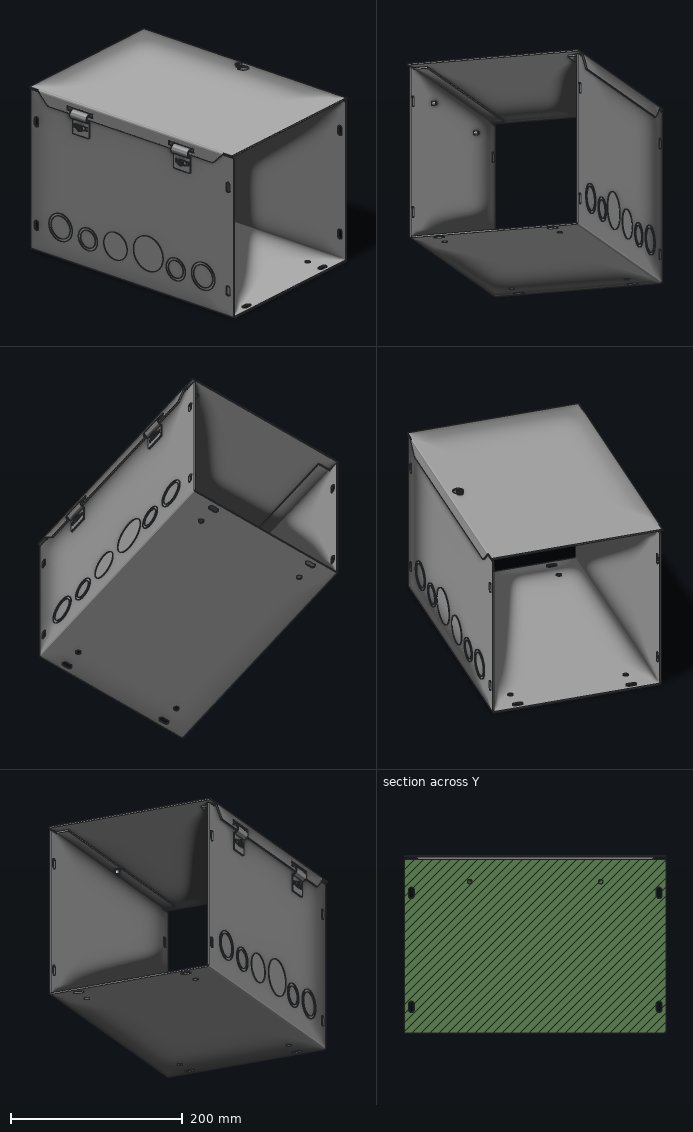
import cadquery as cq

LENGTH = 304.8
SHEET = 1.98
BEND = 2.7
INNER_BEND = BEND - SHEET

BOX_DEPTH = 207.3
BOX_HEIGHT = 207.3
FLANGE_WIDTH = 17.5
FLANGE_HALF_LENGTH = 138.0
END_NOTCH_DEPTH = 2.5
BOX_FRONT = -BOX_DEPTH / 2
BOX_BACK = BOX_DEPTH / 2

SLOT_LENGTH = 12.8
SLOT_WIDTH = 6.5
SLOT_X = 144.2
WALL_SLOT_HEIGHTS = (33.0, 165.5)
FLOOR_SLOT_Y = 69.8
FLOOR_HOLE_DIAMETER = 6.5
FLOOR_HOLE_X = 121.0
FLOOR_HOLE_Y = 70.7

KNOCKOUT_BOTTOM = 23.8
KNOCKOUT_RAISE = 1.0
KNOCKOUTS = [
    (-107.3, 35.0, 28.5),
    (-66.0, 28.5, 22.3),
    (-24.7, 35.0, None),
    (24.7, 44.5, None),
    (66.0, 28.5, 22.3),
    (107.3, 35.0, 28.5),
]

COVER_TOP = BOX_HEIGHT + SHEET
COVER_BACK = BOX_BACK + SHEET
FRONT_GAP = 1.37
COVER_FRONT = BOX_FRONT - FRONT_GAP - SHEET
LIP_BOTTOM = 192.3
LIP_HALF_LENGTH = 139.5
LIP_CORNER = 15.5
END_SETBACK = 1.2
WINDOW_LENGTH = 38.0
WINDOW_BOTTOM = 196.3
WINDOW_TOP = 201.5
KEYHOLE_DIAMETER = 12.8
KEYHOLE_OFFSET = 7.0
KEYHOLE_NECK = 6.5

CLIP_XS = (-76.2, 76.2)
CLIP_WIDTH = 25.0
CLIP_SHEET = 1.5
CLIP_BOTTOM = 167.3
CLIP_CURL_RADIUS = 6.0
CLIP_CURL_OFFSET = 0.75
CLIP_CURL_Y = BOX_FRONT - CLIP_CURL_OFFSET
CLIP_CURL_Z = 193.0
CLIP_CORNER = 1.5
CLIP_SLOT_LENGTH = 19.5
CLIP_SLOT_WIDTH = 4.5

HEAD_DIAMETER = 8.0
HEAD_RIM = 1.2
HEAD_HEIGHT = 2.9
NECK_DIAMETER = 6.5
SHANK_DIAMETER = 4.5
TIP_CHAMFER = 0.5
CROSS_LENGTH = 4.0
CROSS_WIDTH = 1.0
CROSS_DEPTH = 1.0
CLIP_SCREW_Z = 178.5
CLIP_SCREW_TIP_Y = BOX_FRONT + 7.5
WING_LENGTH = 15.2
WING_WIDTH = 5.8
WING_THICKNESS = 1.0
COVER_SCREW_Y = 91.7
COVER_SCREW_TIP_Z = 198.7
COLLAR_DIAMETER = 8.0
COLLAR_HEIGHT = 1.2


def block(x_range, y_range, z_range):
    """Axis-aligned block between the given limits."""
    size = [high - low for low, high in (x_range, y_range, z_range)]
    corner = cq.Vector(x_range[0], y_range[0], z_range[0])
    return cq.Workplane(cq.Solid.makeBox(*size, corner))


def rod(diameter, start, direction, length):
    """Cylinder from a start point along a direction."""
    return cq.Workplane(cq.Solid.makeCylinder(diameter / 2, length, cq.Vector(*start), cq.Vector(*direction)))


def bent_shell():
    """Closed rectangular tube of sheet along X, with bent corners."""
    half = LENGTH / 2
    outside = block((-half, half), (BOX_FRONT, BOX_BACK), (0, BOX_HEIGHT)).edges("|X").fillet(BEND)
    inside = block(
        (-half, half), (BOX_FRONT + SHEET, BOX_BACK - SHEET), (SHEET, BOX_HEIGHT - SHEET)
    ).edges("|X").fillet(INNER_BEND)
    return outside.cut(inside)


def wall_slots():
    """Cutters for the upright slots through both walls."""
    points = [(x, z) for x in (-SLOT_X, SLOT_X) for z in WALL_SLOT_HEIGHTS]
    profile = cq.Workplane("XZ").pushPoints(points).slot2D(SLOT_LENGTH, SLOT_WIDTH, 90)
    return profile.extrude(BOX_DEPTH, both=True)


def floor_openings():
    """Cutters for the slots and round holes through the floor."""
    slot_points = [(x, y) for x in (-SLOT_X, SLOT_X) for y in (-FLOOR_SLOT_Y, FLOOR_SLOT_Y)]
    hole_points = [(x, y) for x in (-FLOOR_HOLE_X, FLOOR_HOLE_X) for y in (-FLOOR_HOLE_Y, FLOOR_HOLE_Y)]
    slots = cq.Workplane("XY").pushPoints(slot_points).slot2D(SLOT_LENGTH, SLOT_WIDTH, 90).extrude(SHEET)
    holes = cq.Workplane("XY").pushPoints(hole_points).circle(FLOOR_HOLE_DIAMETER / 2).extrude(SHEET)
    return slots.union(holes)


def knockout(x, outer_diameter, sunk_diameter, wall_y, outward):
    """Raised disc on a wall; with a sunk centre it becomes a ring."""
    start = (x, wall_y, KNOCKOUT_BOTTOM + outer_diameter / 2)
    direction = (0, outward, 0)
    disc = rod(outer_diameter, start, direction, KNOCKOUT_RAISE)
    if sunk_diameter:
        disc = disc.cut(rod(sunk_diameter, start, direction, KNOCKOUT_RAISE))
    return disc


def make_box():
    half = LENGTH / 2
    box = bent_shell()

    opening_half_depth = BOX_DEPTH / 2 - FLANGE_WIDTH
    box = box.cut(
        block((-half, half), (-opening_half_depth, opening_half_depth), (BOX_HEIGHT - SHEET, BOX_HEIGHT))
    )
    for x_range in ((-half, -FLANGE_HALF_LENGTH), (FLANGE_HALF_LENGTH, half)):
        box = box.cut(block(x_range, (BOX_FRONT, BOX_BACK), (BOX_HEIGHT - END_NOTCH_DEPTH, BOX_HEIGHT)))

    box = box.cut(wall_slots()).cut(floor_openings())
    for x, outer_diameter, sunk_diameter in KNOCKOUTS:
        box = box.union(knockout(x, outer_diameter, sunk_diameter, BOX_FRONT, -1))
        box = box.union(knockout(x, outer_diameter, sunk_diameter, BOX_BACK, 1))

    collar_bottom = BOX_HEIGHT - SHEET - COLLAR_HEIGHT
    box = box.union(rod(COLLAR_DIAMETER, (0, COVER_SCREW_Y, collar_bottom), (0, 0, 1), COLLAR_HEIGHT))
    box = box.cut(rod(SHANK_DIAMETER, (0, COVER_SCREW_Y, collar_bottom), (0, 0, 1), COLLAR_HEIGHT + SHEET))
    for x in CLIP_XS:
        box = box.cut(rod(SHANK_DIAMETER, (x, BOX_FRONT, CLIP_SCREW_Z), (0, 1, 0), SHEET))
    return box


def make_cover():
    half = LENGTH / 2
    outside = (
        block((-half, half), (COVER_FRONT, COVER_BACK), (LIP_BOTTOM, COVER_TOP))
        .edges("|X and >Z").fillet(BEND)
    )
    inside = (
        block((-half, half), (COVER_FRONT + SHEET, COVER_BACK - SHEET), (LIP_BOTTOM, BOX_HEIGHT))
        .edges("|X and >Z").fillet(INNER_BEND)
    )
    cover = outside.cut(inside)

    lip_outline = [
        (-LIP_HALF_LENGTH, COVER_TOP),
        (-LIP_HALF_LENGTH, LIP_BOTTOM + LIP_CORNER),
        (-LIP_HALF_LENGTH + LIP_CORNER, LIP_BOTTOM),
        (LIP_HALF_LENGTH - LIP_CORNER, LIP_BOTTOM),
        (LIP_HALF_LENGTH, LIP_BOTTOM + LIP_CORNER),
        (LIP_HALF_LENGTH, COVER_TOP),
    ]
    lip_zone = cq.Workplane("XZ").polyline(lip_outline).close().extrude(LENGTH, both=True)
    top_y_range = (COVER_FRONT + END_SETBACK, COVER_BACK - END_SETBACK)
    top_zone = block((-half, half), top_y_range, (BOX_HEIGHT, COVER_TOP))
    cover = cover.intersect(lip_zone.union(top_zone))

    for x in CLIP_XS:
        cover = cover.cut(
            block(
                (x - WINDOW_LENGTH / 2, x + WINDOW_LENGTH / 2),
                (COVER_FRONT, COVER_FRONT + SHEET),
                (WINDOW_BOTTOM, WINDOW_TOP),
            )
        )

    cover = cover.cut(rod(KEYHOLE_DIAMETER, (KEYHOLE_OFFSET, COVER_SCREW_Y, BOX_HEIGHT), (0, 0, 1), SHEET))
    cover = cover.cut(rod(KEYHOLE_NECK, (0, COVER_SCREW_Y, BOX_HEIGHT), (0, 0, 1), SHEET))
    neck_half = KEYHOLE_NECK / 2
    return cover.cut(
        block(
            (0, KEYHOLE_OFFSET),
            (COVER_SCREW_Y - neck_half, COVER_SCREW_Y + neck_half),
            (BOX_HEIGHT, COVER_TOP),
        )
    )


def make_clip(x):
    outer = CLIP_CURL_RADIUS
    inner = outer - CLIP_SHEET
    plate_front = BOX_FRONT - CLIP_SHEET
    curl_end_z = CLIP_CURL_Z - (outer ** 2 - (CLIP_CURL_Y - plate_front) ** 2) ** 0.5
    clip = (
        cq.Workplane("YZ")
        .moveTo(BOX_FRONT, CLIP_CURL_Z + outer)
        .lineTo(CLIP_CURL_Y, CLIP_CURL_Z + outer)
        .threePointArc((CLIP_CURL_Y - outer, CLIP_CURL_Z), (plate_front, curl_end_z))
        .lineTo(plate_front, CLIP_BOTTOM)
        .lineTo(BOX_FRONT, CLIP_BOTTOM)
        .lineTo(BOX_FRONT, CLIP_CURL_Z - inner)
        .lineTo(CLIP_CURL_Y, CLIP_CURL_Z - inner)
        .threePointArc((CLIP_CURL_Y - inner, CLIP_CURL_Z), (CLIP_CURL_Y, CLIP_CURL_Z + inner))
        .lineTo(BOX_FRONT, CLIP_CURL_Z + inner)
        .close()
        .extrude(CLIP_WIDTH / 2, both=True)
        .translate((x, 0, 0))
    )
    clip = clip.edges("|Y and <Z").fillet(CLIP_CORNER)
    slot_half_length = CLIP_SLOT_LENGTH / 2
    slot_half_width = CLIP_SLOT_WIDTH / 2
    return clip.cut(
        block(
            (x - slot_half_length, x + slot_half_length),
            (plate_front, BOX_FRONT),
            (CLIP_SCREW_Z - slot_half_width, CLIP_SCREW_Z + slot_half_width),
        )
    )


def make_screw(shank_length):
    """Cross-recessed screw along Z: the head stands on z = 0, the shank points down."""
    neck_height = HEAD_HEIGHT - HEAD_RIM
    screw = cq.Workplane("XY").circle(SHANK_DIAMETER / 2).extrude(-shank_length)
    screw = screw.faces("<Z").chamfer(TIP_CHAMFER)
    screw = screw.union(rod(NECK_DIAMETER, (0, 0, 0), (0, 0, 1), neck_height))
    screw = screw.union(rod(HEAD_DIAMETER, (0, 0, neck_height), (0, 0, 1), HEAD_RIM))
    for size in ((CROSS_LENGTH, CROSS_WIDTH), (CROSS_WIDTH, CROSS_LENGTH)):
        recess = cq.Workplane("XY").rect(*size).extrude(CROSS_DEPTH)
        screw = screw.cut(recess.translate((0, 0, HEAD_HEIGHT - CROSS_DEPTH)))
    return screw


def make_cover_screw():
    return make_screw(COVER_TOP - COVER_SCREW_TIP_Z).translate((0, COVER_SCREW_Y, COVER_TOP))


def make_clip_screw(x):
    """Screw with an oblong wing under the head that bears on the clip."""
    seat_y = BOX_FRONT - CLIP_SHEET
    wing = cq.Workplane("XY").slot2D(WING_LENGTH, WING_WIDTH).extrude(WING_THICKNESS)
    screw = make_screw(CLIP_SCREW_TIP_Y - seat_y).union(wing)
    return screw.rotate((0, 0, 0), (1, 0, 0), 90).translate((x, seat_y, CLIP_SCREW_Z))


box = make_box()
cover = make_cover()
clips = [make_clip(x) for x in CLIP_XS]
clip_screws = [make_clip_screw(x) for x in CLIP_XS]
cover_screw = make_cover_screw()

result = cq.Compound.makeCompound(
    [
        box.val(),
        cover.val(),
        *[clip.val() for clip in clips],
        *[screw.val() for screw in clip_screws],
        cover_screw.val(),
    ]
)